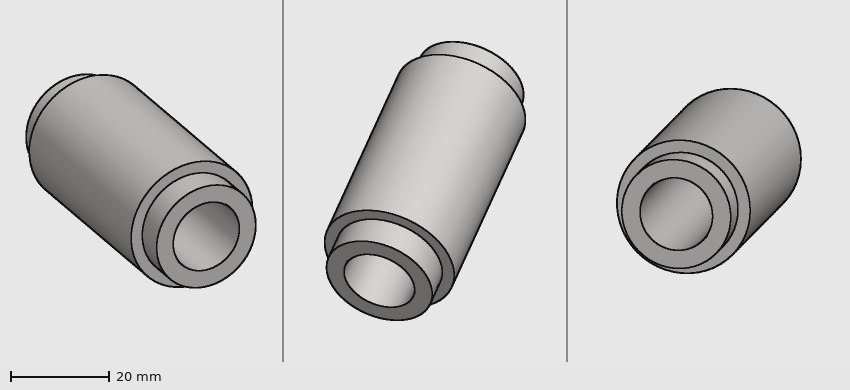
import cadquery as cq

total_length = 57.65
collar_length = 6.35
body_diameter = 27.95
collar_diameter = 22.85
bore_diameter = 15.2

body_length = total_length - 2 * collar_length


def centred_cylinder(diameter, length):
    """Cylinder along X, centred on the origin."""
    return cq.Workplane("YZ", origin=(-length / 2, 0, 0)).circle(diameter / 2).extrude(length)


body = centred_cylinder(body_diameter, body_length)
collars = centred_cylinder(collar_diameter, total_length)
bore = centred_cylinder(bore_diameter, total_length)

result = body.union(collars).cut(bore)